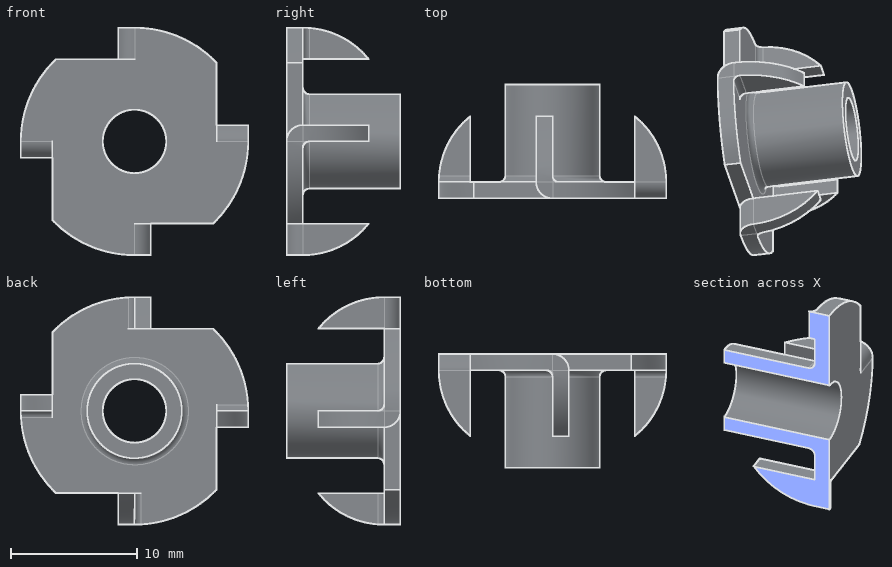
import cadquery as cq
import math

flange_radius = 9.0
sheet_thickness = 1.3
total_depth = 9.0
barrel_radius = 3.75
bore_radius = 2.5
root_radius = 0.5
notch_distance = 6.5
prong_tip_depth = 6.5
prong_count = 4


def cylinder(radius, depth):
    """Solid cylinder on the nut axis, starting at the flange face."""
    return cq.Workplane("XZ").circle(radius).extrude(-depth)


def turned(shape, index):
    """Shape turned about the nut axis to the given prong position."""
    return shape.rotate((0, 0, 0), (0, 1, 0), index * 360 / prong_count)


def make_body():
    """Round flange joined to the barrel by a concave fillet."""
    foot = sheet_thickness + root_radius
    arc_offset = root_radius * (1 - math.sqrt(0.5))
    return (
        cq.Workplane("XY")
        .lineTo(flange_radius, 0)
        .lineTo(flange_radius, sheet_thickness)
        .lineTo(barrel_radius + root_radius, sheet_thickness)
        .threePointArc(
            (barrel_radius + arc_offset, sheet_thickness + arc_offset),
            (barrel_radius, foot),
        )
        .lineTo(barrel_radius, total_depth)
        .lineTo(0, total_depth)
        .close()
        .revolve(360, (0, 0, 0), (0, 1, 0))
    )


def make_notch():
    """Corner removed from the flange on the -X side of the upper prong."""
    return cq.Workplane("XY").box(
        flange_radius, sheet_thickness, flange_radius, centered=False
    ).translate((-flange_radius, 0, notch_distance))


def make_side_outline():
    """Solid block whose outer edge curves from the flange rim in to the prong tip."""
    rise = flange_radius - notch_distance
    run = prong_tip_depth - sheet_thickness
    edge_radius = (run**2 + rise**2) / (2 * rise)
    half_angle = math.atan2(rise, run)
    edge_middle = (
        sheet_thickness + edge_radius * math.sin(half_angle),
        flange_radius - edge_radius * (1 - math.cos(half_angle)),
    )
    return (
        cq.Workplane("YZ", origin=(-sheet_thickness, 0, 0))
        .moveTo(0, notch_distance)
        .lineTo(0, flange_radius)
        .lineTo(sheet_thickness, flange_radius)
        .threePointArc(edge_middle, (prong_tip_depth, notch_distance))
        .close()
        .extrude(sheet_thickness + root_radius)
    )


def make_prong():
    """Upper prong: a strip with a rounded outer bend, ending in a point."""
    bend_offset = sheet_thickness * math.sqrt(0.5)
    strip = (
        cq.Workplane("XY", origin=(0, 0, notch_distance))
        .threePointArc(
            (-bend_offset, sheet_thickness - bend_offset),
            (-sheet_thickness, sheet_thickness),
        )
        .lineTo(-sheet_thickness, prong_tip_depth)
        .lineTo(0, prong_tip_depth)
        .close()
        .extrude(flange_radius - notch_distance)
    )
    return strip.intersect(make_side_outline())


def make_bend_fillet():
    """Concave fillet between the upper prong and the back of the flange."""
    bend_end = sheet_thickness + root_radius
    arc_offset = root_radius * (1 - math.sqrt(0.5))
    fillet = (
        cq.Workplane("XY", origin=(0, 0, notch_distance))
        .moveTo(0, sheet_thickness)
        .lineTo(0, bend_end)
        .threePointArc(
            (arc_offset, sheet_thickness + arc_offset),
            (root_radius, sheet_thickness),
        )
        .close()
        .extrude(flange_radius - notch_distance)
    )
    return fillet.intersect(make_side_outline()).intersect(cylinder(flange_radius, total_depth))


notch = make_notch()
prong = make_prong()
bend_fillet = make_bend_fillet()
result = make_body()
for position in range(prong_count):
    result = result.cut(turned(notch, position))
for position in range(prong_count):
    result = result.union(turned(prong, position), clean=False)
    result = result.union(turned(bend_fillet, position), clean=False)
result = result.cut(cylinder(bore_radius, total_depth), clean=False)